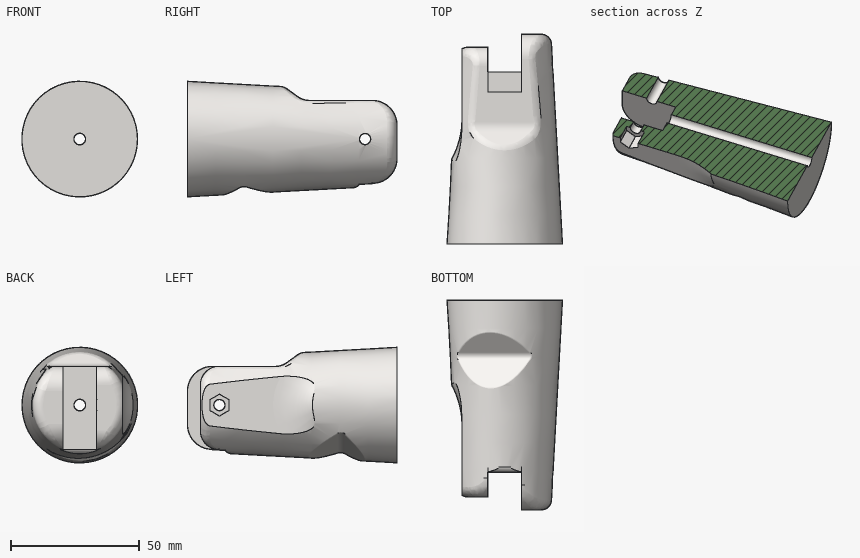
import cadquery as cq
import math

length = 81.5
base_radius = 22.5
tip_radius = 18.0
bore_diameter = 4.4

top_flat_z = 15.1
left_flat_x = -16.6
flat_edge_round = 4.1
top_step_start = 37.5
top_step_end = 44.8
step_blend = 7.3
shoulder_center_y = 26.1
shoulder_foot_radius = 22
shoulder_crest_radius = 6.5
shoulder_crest_x = -20.9
shoulder_blend = 32.6

slot_width = 13
slot_floor_y = 59.1
tongue_end_y = 67.0
tongue_top_z = -17.3
tongue_round = 2.3
left_arm_end_y = 76.45
arm_corner_radius = 9.8
left_arm_corner_radius = 7.3
arm_bottom_z = tongue_top_z

pin_y = 69.0
pin_diameter = 4.2
nut_sides = 6
nut_across_corners = 8.5
nut_pocket_depth = 6.5

groove_turn = 15
groove_start_y = 12.6
groove_floor_y = 21.6
groove_end_y = 34.2
groove_depth_radius = 14.8
groove_floor_round = 2.45
groove_edge_round = 0.65

clearance = 32.6


def body_radius(y):
    return base_radius + (tip_radius - base_radius) * y / length


def prism_along_x(outline, x_start, x_end):
    """Extrude a closed (y, z) outline from x_start to x_end."""
    profile = cq.Workplane("YZ").workplane(offset=x_start).polyline(outline).close()
    return profile.extrude(x_end - x_start)


def box_between(low, high):
    size = [b - a for a, b in zip(low, high)]
    return cq.Workplane("XY").box(*size, centered=False).translate(low)


def make_body():
    outline = [(0, 0), (base_radius, 0), (tip_radius, length), (0, length)]
    return cq.Workplane("XY").polyline(outline).close().revolve(360, (0, 0), (0, 1))


def top_cutter():
    crest_z = body_radius(top_step_start)
    slope = (top_step_end - top_step_start) / (crest_z - top_flat_z)
    outline = [
        (top_step_end, top_flat_z),
        (length + clearance, top_flat_z),
        (length + clearance, clearance),
        (top_step_end - slope * (clearance - top_flat_z), clearance),
    ]
    cutter = prism_along_x(outline, -clearance, clearance)
    foot = cq.selectors.NearestToPointSelector((0, top_step_end, top_flat_z))
    return cutter.edges(foot).fillet(step_blend)


def left_cutter():
    """Slab outside the left flat, leaving a round shoulder with a concave flank."""
    slab = box_between(
        (-clearance, shoulder_center_y, -clearance),
        (left_flat_x, length + clearance, clearance),
    )
    foot_y = shoulder_center_y + shoulder_foot_radius
    crest_y = shoulder_center_y + shoulder_crest_radius
    shoulder = (
        cq.Workplane("XY")
        .moveTo(left_flat_x, shoulder_center_y)
        .lineTo(left_flat_x, foot_y)
        .radiusArc((shoulder_crest_x, crest_y), shoulder_blend)
        .lineTo(-clearance, crest_y)
        .lineTo(-clearance, shoulder_center_y)
        .close()
        .revolve(360, (0, shoulder_center_y), (1, shoulder_center_y))
    )
    return slab.cut(shoulder)


def groove_cutter():
    slope_start = (groove_floor_y - groove_start_y) / (body_radius(groove_start_y) - groove_depth_radius)
    slope_end = (groove_end_y - groove_floor_y) / (body_radius(groove_end_y) - groove_depth_radius)
    reach = clearance - groove_depth_radius
    outline = [
        (groove_floor_y, -groove_depth_radius),
        (groove_floor_y - slope_start * reach, -clearance),
        (groove_floor_y + slope_end * reach, -clearance),
    ]
    cutter = prism_along_x(outline, -clearance, clearance)
    cutter = cutter.edges("|X").edges(">Z").fillet(groove_floor_round)
    return cutter.rotate((0, 0, 0), (0, 1, 0), groove_turn)


def arm_end_cutter(x_start, x_end, end_y, corner_radius):
    """Everything beyond the rounded end of one arm."""
    root_y = end_y - 2 * corner_radius
    arm = box_between((x_start, root_y, arm_bottom_z), (x_end, end_y, top_flat_z))
    arm = arm.edges("|X").edges(">Y").fillet(corner_radius)
    start_y = end_y - corner_radius
    blank = box_between((x_start, start_y, -clearance), (x_end, length + clearance, clearance))
    return blank.cut(arm)


def slot_cutter():
    half = slot_width / 2
    upper = box_between((-half, slot_floor_y, tongue_top_z), (half, length + clearance, clearance))
    through = box_between((-half, tongue_end_y, -clearance), (half, length + clearance, clearance))
    lip_z = -body_radius(tongue_end_y)
    lip = box_between(
        (-half, tongue_end_y - tongue_round, lip_z - tongue_round),
        (half, tongue_end_y, lip_z + tongue_round),
    )
    roll = (
        cq.Workplane("YZ")
        .center(tongue_end_y - tongue_round, lip_z + tongue_round)
        .circle(tongue_round)
        .extrude(half, both=True)
    )
    return upper.union(through).union(lip.cut(roll))


def pin_cutter():
    hole = cq.Workplane("YZ").center(pin_y, 0).circle(pin_diameter / 2).extrude(clearance, both=True)
    corners = []
    corner_radius = nut_across_corners / 2
    for index in range(nut_sides):
        angle = math.radians(90 + 360 * index / nut_sides)
        corners.append((pin_y + corner_radius * math.cos(angle), corner_radius * math.sin(angle)))
    return hole.union(prism_along_x(corners, -clearance, left_flat_x + nut_pocket_depth))


def round_flat_edges(part):
    """Round the rim of the top flat, its step and the arm ends in one continuous run."""
    end_region = cq.selectors.BoxSelector(
        (-clearance, top_step_end, -clearance), (-slot_width / 2, length + clearance, clearance)
    )
    return part.edges(end_region).edges("not |X").fillet(flat_edge_round)


def round_groove_edges(part):
    groove_region = cq.selectors.BoxSelector(
        (-clearance, groove_start_y, -clearance), (clearance, groove_end_y, -groove_floor_round)
    )
    return part.edges(groove_region).edges("not #Y").fillet(groove_edge_round)


body = make_body().cut(top_cutter())
body = body.cut(arm_end_cutter(0, clearance, length, arm_corner_radius))
body = body.cut(arm_end_cutter(-clearance, 0, left_arm_end_y, left_arm_corner_radius))
body = round_flat_edges(body)
body = body.cut(left_cutter())
body = body.cut(groove_cutter())
body = round_groove_edges(body)
body = body.cut(slot_cutter())
body = body.cut(pin_cutter())
bore = cq.Workplane("XZ").circle(bore_diameter / 2).extrude(-length)
result = body.cut(bore)